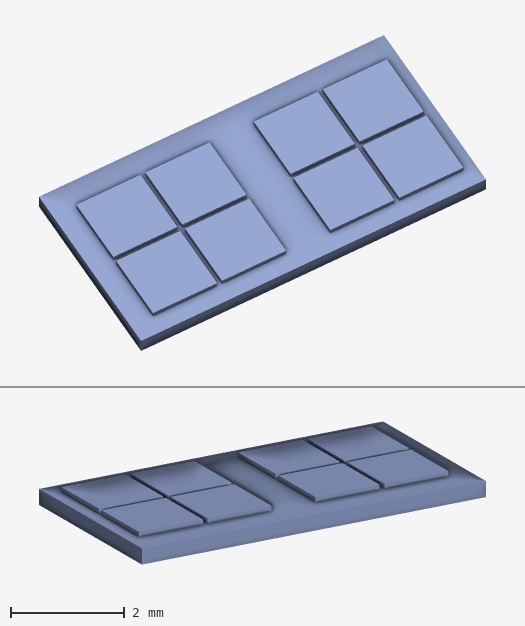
import cadquery as cq

plate_width = 3.6
plate_length = 7.0
total_height = 0.4
pad_height = 0.1
plate_height = total_height - pad_height

pad_side = 1.3
pad_gap = 0.1
pad_pitch = pad_side + pad_gap
group_pitch = 3.6
left_margin = 0.54
front_margin = 0.45

first_pad_x = -plate_width / 2 + left_margin + pad_side / 2
first_pad_y = -plate_length / 2 + front_margin + pad_side / 2


def pad_centers():
    """Centres of all pads, group by group."""
    return [
        (first_pad_x + column * pad_pitch, first_pad_y + group * group_pitch + row * pad_pitch)
        for group in range(2)
        for row in range(2)
        for column in range(2)
    ]


plate = cq.Workplane("XY").box(plate_width, plate_length, plate_height, centered=(True, True, False))

pads = cq.Workplane("XY").pushPoints(pad_centers()).rect(pad_side, pad_side).extrude(total_height)

result = plate.union(pads)